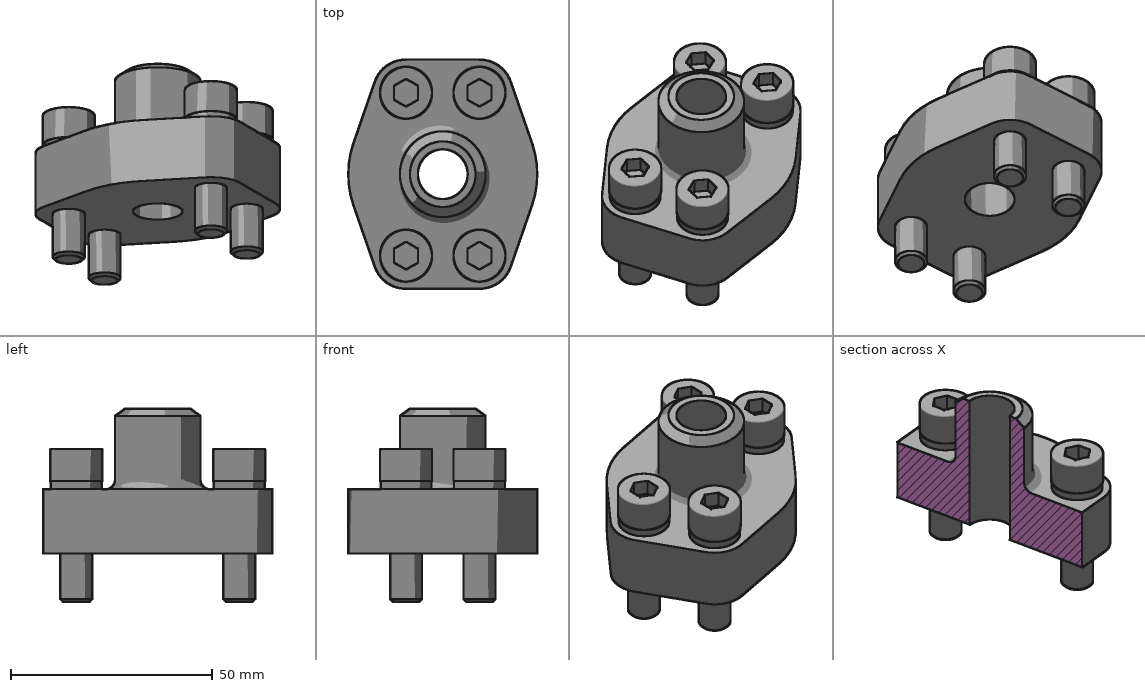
import cadquery as cq
import math

plate_length = 57.0
plate_width = 47.0
plate_thickness = 16.0
half_length = plate_length / 2
side_radius = plate_width / 2

screw_x = 9.1
screw_y = 20.25
corner_radius = half_length - screw_y
washer_diameter = 12.7
washer_height = 2.0
head_diameter = 13.0
head_height = 8.0
head_edge_radius = 0.35
shank_diameter = 8.0
shank_projection = 11.95
shank_tip_chamfer = 0.75
socket_across_flats = 6.0
socket_depth = 4.0

neck_diameter = 21.3
neck_height = 20.0
neck_bevel_width = 2.5
neck_bevel_height = 1.8
neck_root_radius = 2.3
bore_diameter = 12.3


def polar(center, radius, angle):
    """Point on a circle at the given angle in radians."""
    return (center[0] + radius * math.cos(angle), center[1] + radius * math.sin(angle))


def make_plate():
    """Plate with its underside on Z = 0; one quarter is drawn and mirrored."""
    corner = (screw_x, screw_y)
    center_angle = math.atan2(screw_y, screw_x)
    center_distance = math.hypot(screw_x, screw_y)
    flat_angle = center_angle - math.acos((side_radius - corner_radius) / center_distance)
    corner_mid_angle = (flat_angle + math.pi / 2) / 2
    quarter = (
        cq.Workplane("XY")
        .moveTo(0, 0)
        .lineTo(side_radius, 0)
        .threePointArc(
            polar((0, 0), side_radius, flat_angle / 2),
            polar((0, 0), side_radius, flat_angle),
        )
        .lineTo(*polar(corner, corner_radius, flat_angle))
        .threePointArc(
            polar(corner, corner_radius, corner_mid_angle),
            (screw_x, half_length),
        )
        .lineTo(0, half_length)
        .close()
        .extrude(plate_thickness)
    )
    half = quarter.union(quarter.mirror("YZ"))
    return half.union(half.mirror("XZ")).clean()


def make_neck():
    """Revolved neck with a bevelled end and a concave root on the plate."""
    radius = neck_diameter / 2
    top = plate_thickness + neck_height
    root_top = plate_thickness + neck_root_radius
    root_outer = radius + neck_root_radius
    root_mid = polar((root_outer, root_top), neck_root_radius, math.radians(225))
    return (
        cq.Workplane("XZ")
        .moveTo(0, 0)
        .lineTo(root_outer, 0)
        .lineTo(root_outer, plate_thickness)
        .threePointArc(root_mid, (radius, root_top))
        .lineTo(radius, top - neck_bevel_height)
        .lineTo(radius - neck_bevel_width, top)
        .lineTo(0, top)
        .close()
        .revolve(360, (0, 0), (0, 1))
    )


def make_screw():
    """Screw on the Z axis, with its washer resting on the plate."""
    head_base = plate_thickness + washer_height
    shank = (
        cq.Workplane("XY")
        .workplane(offset=-shank_projection)
        .circle(shank_diameter / 2)
        .extrude(shank_projection + head_base)
        .faces("<Z")
        .chamfer(shank_tip_chamfer)
    )
    washer = (
        cq.Workplane("XY")
        .workplane(offset=plate_thickness)
        .circle(washer_diameter / 2)
        .extrude(washer_height)
    )
    head = (
        cq.Workplane("XY")
        .workplane(offset=head_base)
        .circle(head_diameter / 2)
        .extrude(head_height)
        .faces(">Z")
        .edges()
        .fillet(head_edge_radius)
    )
    socket = (
        cq.Workplane("XY")
        .workplane(offset=head_base + head_height - socket_depth)
        .polygon(6, socket_across_flats, circumscribed=True)
        .extrude(socket_depth)
    )
    return shank.union(washer).union(head).cut(socket)


bore = cq.Workplane("XY").circle(bore_diameter / 2).extrude(plate_thickness + neck_height)
result = make_plate().union(make_neck()).cut(bore)

screw = make_screw()
for x in (-screw_x, screw_x):
    for y in (-screw_y, screw_y):
        result = result.union(screw.translate((x, y, 0)))